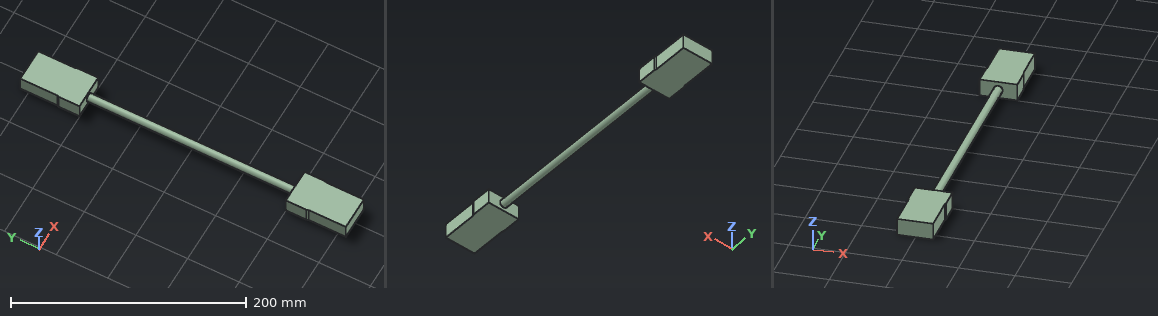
import cadquery as cq

overall_length = 316.0
overall_width = 33.88
block_height = 15.5
block_length = 58.0
block_offset = 0.2
grip_length = 20.0
taper_length = 2.0
side_step = 0.7
rod_diameter = 8.0

block_inner_y = overall_length / 2 - block_length
block_outer_y = overall_length / 2
taper_start_y = block_inner_y + grip_length
taper_end_y = taper_start_y + taper_length
wide_half_width = overall_width / 2 - block_offset
narrow_half_width = wide_half_width - side_step


def make_block():
    """Block on the +Y end, shifted toward +X: wide beside the rod, narrower at its outer end."""
    return (
        cq.Workplane("XY")
        .workplane(offset=-block_height / 2)
        .center(block_offset, 0)
        .moveTo(-wide_half_width, block_inner_y)
        .lineTo(wide_half_width, block_inner_y)
        .lineTo(wide_half_width, taper_start_y)
        .lineTo(narrow_half_width, taper_end_y)
        .lineTo(narrow_half_width, block_outer_y)
        .lineTo(-narrow_half_width, block_outer_y)
        .lineTo(-narrow_half_width, taper_end_y)
        .lineTo(-wide_half_width, taper_start_y)
        .close()
        .extrude(block_height)
    )


def make_rod():
    """Round rod along Y joining the inner faces of the two blocks, its seam along the top."""
    start_plane = cq.Plane(origin=(0, -block_inner_y, 0), xDir=(0, 0, 1), normal=(0, 1, 0))
    return cq.Workplane(start_plane).circle(rod_diameter / 2).extrude(2 * block_inner_y)


block = make_block()
opposite_block = block.rotate((0, 0, 0), (0, 0, 1), 180)
result = make_rod().union(block).union(opposite_block)